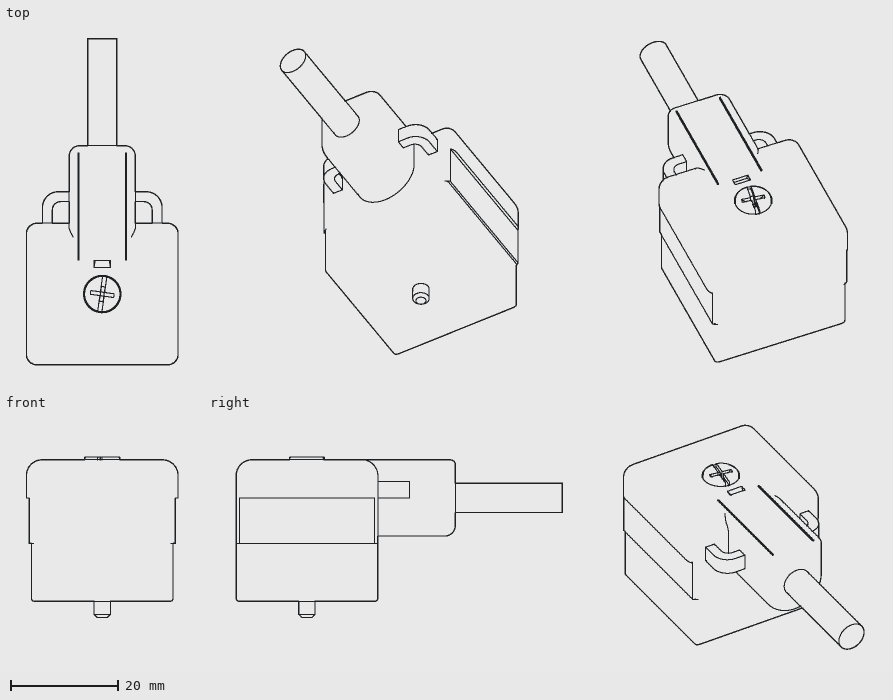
import cadquery as cq


block_width = 28.4
block_depth = 26.5
block_height = 26.5
top_radius = 3.0
corner_radius = 2.0
lower_edge_radius = 0.6

middle_width = 27.3
middle_top = 19.3
lower_width = 26.5
lower_top = 10.85
block_back = block_depth / 2

neck_width = 12.4
neck_length = 14.5
neck_height = 14.3
neck_end = block_back + neck_length
neck_end_radius = 2.0
neck_top_radius = 1.0

loop_width = 22.4
loop_length = 5.9
loop_bar = 1.9
loop_bottom = middle_top
loop_height = 3.15
loop_outer_radius = 3.0
loop_inner_radius = 1.5

groove_spacing = 8.8
groove_width = 0.2
groove_depth = 0.2
groove_start = 6.4
groove_end = 26.4

pocket_width = 3.1
pocket_floor_width = 2.6
pocket_length = 1.3
pocket_depth = 0.8
pocket_front = 4.95

cable_diameter = 5.5
cable_length = 20.0
cable_height = block_height - neck_height / 2

shank_diameter = 3.1
shank_below = 3.0
shank_chamfer = 0.6
head_diameter = 6.6
head_above = 0.5
head_edge_radius = 0.25
head_recess_diameter = 7.0
head_recess_depth = 2.5
drive_turn = 82.0
slot_width = 0.8
slot_depth = 0.85
cross_width = 0.7
cross_length = 4.4
cross_floor_length = 0.6
cross_depth = 2.0


def make_block():
    """Rounded housing block with stepped side walls."""
    block = cq.Workplane("XY").box(block_width, block_depth, block_height, centered=(True, True, False))
    block = block.faces(">Z").edges().fillet(top_radius)
    block = block.edges("|Z").fillet(corner_radius)

    for width, step_top in ((middle_width, middle_top), (lower_width, lower_top)):
        band = cq.Workplane("XY").box(2 * block_width, 2 * block_depth, step_top, centered=(True, True, False))
        core = cq.Workplane("XY").box(width, 2 * block_depth, step_top, centered=(True, True, False))
        block = block.cut(band.cut(core))

    reach = lower_edge_radius / 10
    for wall_x in (-lower_width / 2, lower_width / 2):
        wall_edges = cq.selectors.BoxSelector(
            (wall_x - reach, -block_depth, 0), (wall_x + reach, block_depth, lower_top)
        )
        block = block.edges("|Z").edges(wall_edges).fillet(lower_edge_radius)
    return block.faces("<Z").edges().fillet(lower_edge_radius)


def make_neck():
    """Cable neck, reaching back into the block so that the two roundings meet."""
    half = neck_width / 2
    profile = (
        cq.Workplane("XZ")
        .moveTo(-half, block_height)
        .lineTo(half, block_height)
        .lineTo(half, block_height - neck_height + half)
        .threePointArc((0, block_height - neck_height), (-half, block_height - neck_height + half))
        .close()
    )
    neck = profile.extrude(-neck_end)
    neck = neck.faces(">Y").edges("not >Z").fillet(neck_end_radius)
    return neck.faces(">Z").edges("not <Y").fillet(neck_top_radius)


def rounded_bar(width, length, radius):
    """Plate that starts inside the back of the block, with its two far corners rounded."""
    start = block_back - corner_radius
    bar = cq.Workplane("XY", origin=(0, start + length / 2, loop_bottom))
    return bar.rect(width, length).extrude(loop_height).edges("|Z and >Y").fillet(radius)


def make_loops():
    """One U-shaped bar that crosses the neck and leaves a loop on each side."""
    length = loop_length + corner_radius
    outside = rounded_bar(loop_width, length, loop_outer_radius)
    inside = rounded_bar(loop_width - 2 * loop_bar, length - loop_bar, loop_inner_radius)
    return outside.cut(inside)


def make_grooves():
    """Two shallow grooves in the flat top of the neck."""
    length = groove_end - groove_start
    return (
        cq.Workplane("XY", origin=(0, groove_start + length / 2, block_height - groove_depth))
        .pushPoints([(-groove_spacing / 2, 0), (groove_spacing / 2, 0)])
        .rect(groove_width, length)
        .extrude(groove_depth)
    )


def make_pocket():
    """Pocket with a sloping floor and drafted side walls."""
    pocket_back = pocket_front + pocket_length
    slope = (
        cq.Workplane("YZ")
        .moveTo(pocket_front, block_height)
        .lineTo(pocket_back, block_height)
        .lineTo(pocket_back, block_height - pocket_depth)
        .close()
        .extrude(pocket_width / 2, both=True)
    )
    side_walls = (
        cq.Workplane("XZ")
        .moveTo(-pocket_width / 2, block_height)
        .lineTo(pocket_width / 2, block_height)
        .lineTo(pocket_floor_width / 2, block_height - pocket_depth)
        .lineTo(-pocket_floor_width / 2, block_height - pocket_depth)
        .close()
        .extrude(-pocket_back)
    )
    return slope.intersect(side_walls)


def make_screw_hole():
    """Through hole for the shank with a recess for the head."""
    hole = cq.Workplane("XY").circle(shank_diameter / 2).extrude(block_height)
    recess = (
        cq.Workplane("XY", origin=(0, 0, block_height - head_recess_depth))
        .circle(head_recess_diameter / 2)
        .extrude(head_recess_depth)
    )
    return hole.union(recess)


def make_housing():
    """Block, side loops and neck in one piece, with the openings cut in."""
    housing = make_block().union(make_loops()).union(make_neck())
    return housing.cut(make_grooves()).cut(make_pocket()).cut(make_screw_hole())


def make_cable():
    """Plain round cable that starts at the end face of the neck."""
    start = cq.Workplane("XZ", origin=(0, neck_end, cable_height))
    return start.circle(cable_diameter / 2).extrude(-cable_length)


def make_screw():
    """Screw with a slot and a cross drive, slot along X before the final turn."""
    head_bottom = block_height - head_recess_depth
    head_top = block_height + head_above
    shank = (
        cq.Workplane("XY", origin=(0, 0, -shank_below))
        .circle(shank_diameter / 2)
        .extrude(shank_below + head_bottom)
        .faces("<Z")
        .chamfer(shank_chamfer)
    )
    head = (
        cq.Workplane("XY", origin=(0, 0, head_bottom))
        .circle(head_diameter / 2)
        .extrude(head_top - head_bottom)
        .faces(">Z")
        .edges()
        .fillet(head_edge_radius)
    )
    slot = cq.Workplane("XY", origin=(0, 0, head_top - slot_depth / 2)).box(
        head_diameter, slot_width, slot_depth
    )
    screw = shank.union(head).cut(slot)

    cross_arm = (
        cq.Workplane("XZ")
        .moveTo(-cross_length / 2, head_top)
        .lineTo(cross_length / 2, head_top)
        .lineTo(cross_floor_length / 2, head_top - cross_depth)
        .lineTo(-cross_floor_length / 2, head_top - cross_depth)
        .close()
        .extrude(cross_width / 2, both=True)
    )
    for angle in (0, 90):
        screw = screw.cut(cross_arm.rotate((0, 0, 0), (0, 0, 1), angle))
    return screw.rotate((0, 0, 0), (0, 0, 1), drive_turn)


housing = make_housing()
cable = make_cable()
screw = make_screw()

result = cq.Compound.makeCompound([housing.val(), cable.val(), screw.val()])